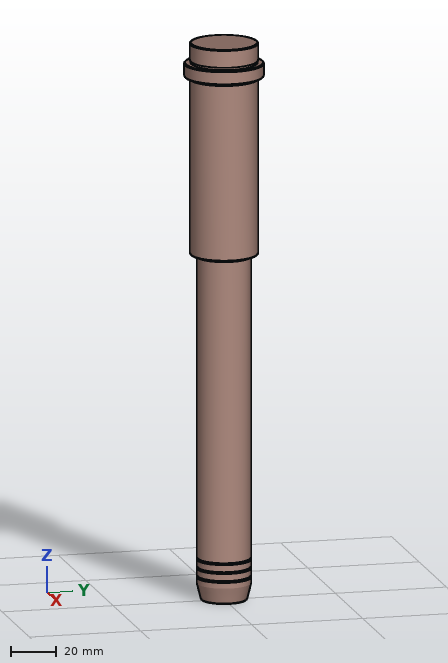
import cadquery as cq

total_length = 250
head_diameter = 30
head_length = 95
collar_diameter = 35
collar_height = 6.2
collar_setback = 9.0
shank_diameter = 24.0

head_chamfer = 0.5
collar_chamfer = 0.5

relief_width = 1.0
relief_depth = 0.2

tip_length = 7.5
tip_diameter = 20.5
tip_chamfer = 0.5

groove_count = 3
groove_width = 1.0
groove_depth = 0.5
groove_pitch = 4.0
tip_land = 2.5

head_bottom = total_length - head_length
collar_top = total_length - collar_setback
collar_bottom = collar_top - collar_height


def cylinder(diameter, bottom, height):
    return cq.Workplane("XY").workplane(offset=bottom).circle(diameter / 2).extrude(height)


def cut_groove(body, diameter, depth, bottom, width):
    """Cut a ring groove into a round body of the given diameter about Z."""
    clearance = 2.5
    outside = cylinder(diameter + clearance, bottom, width)
    core = cylinder(diameter - 2 * depth, bottom, width)
    return body.cut(outside.cut(core))


def cut_v_groove(body, diameter, depth, bottom, width):
    """Cut a V-shaped ring groove into a round body of the given diameter about Z."""
    radius = diameter / 2
    ring = (
        cq.Workplane("XZ")
        .moveTo(radius, bottom)
        .lineTo(radius - depth, bottom + width / 2)
        .lineTo(radius, bottom + width)
        .close()
        .revolve(360, (0, 0, 0), (0, 1, 0))
    )
    return body.cut(ring)


def make_head():
    head = cylinder(head_diameter, head_bottom, head_length).edges().chamfer(head_chamfer)
    for relief_bottom in (collar_bottom - relief_width, collar_top):
        head = cut_groove(head, head_diameter, relief_depth, relief_bottom, relief_width)
    return head


def make_collar():
    return cylinder(collar_diameter, collar_bottom, collar_height).edges().chamfer(collar_chamfer)


def make_shank():
    """Shank with a conical lead-in, revolved about Z, and its ring grooves."""
    shank_radius = shank_diameter / 2
    tip_radius = tip_diameter / 2
    shank = (
        cq.Workplane("XZ")
        .lineTo(tip_radius - tip_chamfer, 0)
        .lineTo(tip_radius, tip_chamfer)
        .lineTo(shank_radius, tip_length)
        .lineTo(shank_radius, head_bottom)
        .lineTo(0, head_bottom)
        .close()
        .revolve(360, (0, 0, 0), (0, 1, 0))
    )
    for index in range(groove_count):
        groove_bottom = tip_length + tip_land + index * groove_pitch
        shank = cut_v_groove(shank, shank_diameter, groove_depth, groove_bottom, groove_width)
    return cut_groove(shank, shank_diameter, relief_depth, head_bottom - relief_width, relief_width)


result = make_shank().union(make_head()).union(make_collar())